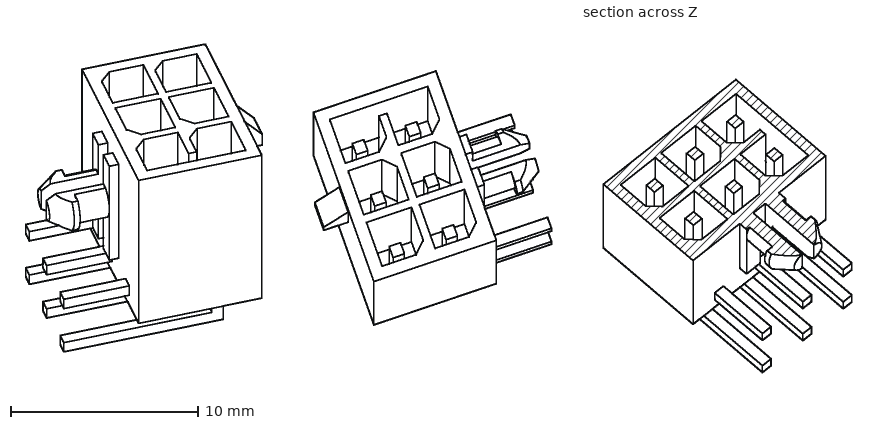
import cadquery as cq

body_width = 9.85
body_depth = 6.93
body_height = 9.88
front_y = -body_depth / 2
back_y = body_depth / 2

pitch = 3.0
columns = (-pitch, 0, pitch)
front_row_y = -pitch / 2
back_row_y = pitch / 2

divider = 0.45
cavity_size = pitch - divider
cavity_chamfer = 0.63
cavity_floor_z = 2.0
link_width = 0.68

pin_size = 0.65
pin_reach = 3.68
pin_drop = 2.3
pin_top_recess = 3.05
pin_top_z = body_height - pin_top_recess
pin_end_y = front_y - pin_reach
back_tail_z = pin_size / 2 - pin_drop
front_tail_z = back_tail_z + pitch

latch_width = 1.45
latch_reach = 1.38
latch_top_z = body_height - 0.62
latch_tip_z = body_height - 2.18
latch_bottom_z = body_height - 2.92

rib_gap = 0.88
rib_width = 1.02
rib_thickness = 0.52
rib_length = 6.48
rib_top_z = body_height - 1.6

peg_z = body_height - 4.59
peg_height = 1.96
peg_axis_x = 0.4
barb_height = 0.33
shaft_radius = rib_gap / 2 + rib_width - peg_axis_x
head_radius = shaft_radius + barb_height
tip_radius = 0.63
head_start = 2.27
head_land = 0.33
peg_reach = 3.74


def box_between(x_range, y_range, z_range):
    """Box spanning the given (low, high) ranges."""
    size = [high - low for low, high in (x_range, y_range, z_range)]
    corner = (x_range[0], y_range[0], z_range[0])
    return cq.Workplane("XY").box(*size, centered=False).translate(corner)


def cavity(x, y, chamfer_side):
    """Square cavity with its front corner cut off on the chosen X side ("<X" or ">X")."""
    block = cq.Workplane("XY").box(cavity_size, cavity_size, body_height, centered=(True, True, False))
    block = block.faces("<Y").edges(chamfer_side).chamfer(cavity_chamfer)
    return block.translate((x, y, cavity_floor_z))


def pin(x, row_y, tail_z):
    """L-shaped pin: upright in the cavity, tail running out to the front."""
    half = pin_size / 2
    outline = [
        (row_y + half, pin_top_z),
        (row_y + half, tail_z - half),
        (pin_end_y, tail_z - half),
        (pin_end_y, tail_z + half),
        (row_y - half, tail_z + half),
        (row_y - half, pin_top_z),
    ]
    return cq.Workplane("YZ").polyline(outline).close().extrude(half, both=True).translate((x, 0, 0))


def latch():
    """Wedge whose sloped side faces up."""
    outline = [
        (back_y, latch_bottom_z),
        (back_y + latch_reach, latch_bottom_z),
        (back_y + latch_reach, latch_tip_z),
        (back_y, latch_top_z),
    ]
    return cq.Workplane("YZ").polyline(outline).close().extrude(latch_width / 2, both=True)


def half_peg():
    """+X half of the snap peg: turned shape, cut by the slot and two flats."""
    land_y = front_y - head_start
    cone_y = land_y - head_land
    tip_y = front_y - peg_reach
    profile = [
        (0, front_y),
        (shaft_radius, front_y),
        (shaft_radius, land_y),
        (head_radius, land_y),
        (head_radius, cone_y),
        (tip_radius, tip_y),
        (0, tip_y),
    ]
    turned = cq.Workplane("XY").polyline(profile).close().revolve(360, (0, 0, 0), (0, 1, 0))
    turned = turned.translate((peg_axis_x, 0, peg_z))
    keep = box_between(
        (rib_gap / 2, peg_axis_x + head_radius),
        (tip_y, front_y),
        (peg_z - peg_height / 2, peg_z + peg_height / 2),
    )
    return turned.intersect(keep)


def rib():
    """+X standoff rib."""
    return box_between(
        (rib_gap / 2, rib_gap / 2 + rib_width),
        (front_y - rib_thickness, front_y),
        (rib_top_z - rib_length, rib_top_z),
    )


result = cq.Workplane("XY").box(body_width, body_depth, body_height, centered=(True, True, False))
for x in columns:
    side = ">X" if x == 0 else "<X"
    for y in (front_row_y, back_row_y):
        result = result.cut(cavity(x, y, side))

link_end_x = pitch + cavity_size / 2
result = result.cut(
    box_between(
        (link_end_x - link_width, link_end_x),
        (front_row_y, back_row_y),
        (cavity_floor_z, body_height),
    )
)

result = result.union(latch())
mount = rib().union(half_peg())
result = result.union(mount).union(mount.mirror("YZ"))

for x in columns:
    result = result.union(pin(x, front_row_y, front_tail_z))
    result = result.union(pin(x, back_row_y, back_tail_z))